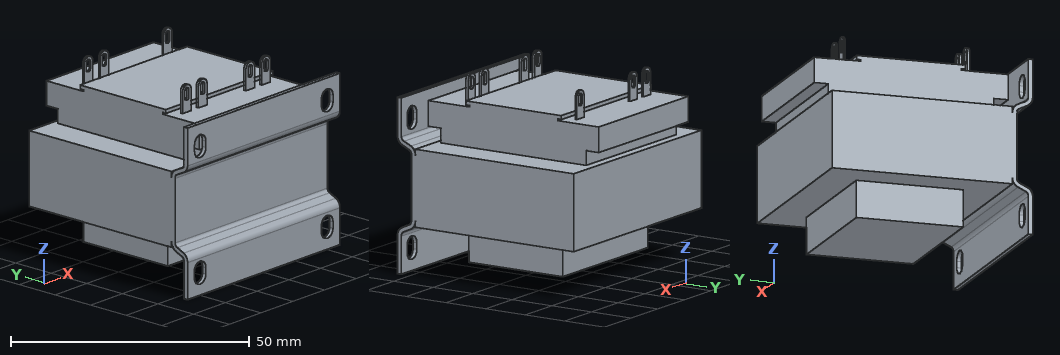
import cadquery as cq
import math


core_width = 48.0
core_depth = 40.05
core_height = 16.8

coil_width = 32.0
coil_depth = 23.7
coil_bottom = -16.45

carrier_width = 33.75
carrier_top = 17.3
carrier_gap = 0.2
flange_depth = 43.0
flange_thickness = 5.5
waist_depth = 36.7

neck_depth = 22.25
neck_height = 0.35
cover_depth = 24.1
cover_thickness = 0.85

terminal_width = 2.75
terminal_tip = 23.4
terminal_root = 0.95
terminal_eye_width = 1.3
terminal_eye_length = 2.7
terminal_eye_margin = 0.7
terminal_row_y = 13.8
front_terminal_thickness = 0.6
rear_terminal_thickness = 0.4
inner_terminal_x = 7.5
outer_terminal_x = 12.5
front_terminals = (-outer_terminal_x, -inner_terminal_x, inner_terminal_x, outer_terminal_x)
rear_terminals = (-outer_terminal_x, -inner_terminal_x, outer_terminal_x)

sheet = 1.0
bracket_height = 38.0
foot_front = -24.55
foot_start = 10.7
base_end = 7.15
bend_angle = math.radians(65)
bend_inner_radius = 1.0
bend_outer_radius = bend_inner_radius + sheet
hole_x = 20.0
hole_z = 14.0
hole_width = 3.6
hole_length = 5.0


def block(width, depth, bottom, top):
    """Box centred in X and Y between two heights."""
    return cq.Workplane("XY").workplane(offset=bottom).rect(width, depth).extrude(top - bottom)


def make_core():
    return block(core_width, core_depth, -core_height / 2, core_height / 2)


def make_coil_and_carrier():
    carrier_bottom = core_height / 2 + carrier_gap
    neck_top = carrier_top + neck_height
    coil = block(coil_width, coil_depth, coil_bottom, carrier_top)
    waist = block(carrier_width, waist_depth, carrier_bottom, carrier_top)
    flange = block(carrier_width, flange_depth, carrier_top - flange_thickness, carrier_top)
    neck = block(carrier_width, neck_depth, carrier_top, neck_top)
    cover = block(carrier_width, cover_depth, neck_top, neck_top + cover_thickness)
    return coil.union(waist).union(flange).union(neck).union(cover)


def make_terminal(x, y, thickness):
    """Upright tab with a rounded tip and an oblong eye, rooted in the carrier."""
    half_width = terminal_width / 2
    bottom = carrier_top - terminal_root
    shoulder = terminal_tip - half_width
    eye_z = terminal_tip - terminal_eye_margin - terminal_eye_length / 2
    plane = cq.Workplane("XZ", origin=(x, y, 0))
    tab = (
        plane.moveTo(-half_width, bottom)
        .lineTo(half_width, bottom)
        .lineTo(half_width, shoulder)
        .threePointArc((0, terminal_tip), (-half_width, shoulder))
        .close()
        .extrude(thickness / 2, both=True)
    )
    eye = (
        plane.center(0, eye_z)
        .slot2D(terminal_eye_length, terminal_eye_width, 90)
        .extrude(thickness, both=True)
    )
    return tab.cut(eye)


def make_bracket():
    base_back = -core_depth / 2
    base_front = base_back - sheet
    foot_back = foot_front + sheet
    foot_end = bracket_height / 2

    def base_bend(radius, angle):
        center_y = base_front - bend_inner_radius
        return (center_y + radius * math.cos(angle), base_end + radius * math.sin(angle))

    def foot_bend(radius, angle):
        center_y = foot_back + bend_inner_radius
        return (center_y - radius * math.cos(angle), foot_start - radius * math.sin(angle))

    half_angle = bend_angle / 2
    upper_half = (
        cq.Workplane("YZ")
        .moveTo(base_front, 0)
        .lineTo(base_front, base_end)
        .threePointArc(base_bend(bend_inner_radius, half_angle), base_bend(bend_inner_radius, bend_angle))
        .lineTo(*foot_bend(bend_outer_radius, bend_angle))
        .threePointArc(foot_bend(bend_outer_radius, half_angle), (foot_front, foot_start))
        .lineTo(foot_front, foot_end)
        .lineTo(foot_back, foot_end)
        .lineTo(foot_back, foot_start)
        .threePointArc(foot_bend(bend_inner_radius, half_angle), foot_bend(bend_inner_radius, bend_angle))
        .lineTo(*base_bend(bend_outer_radius, bend_angle))
        .threePointArc(base_bend(bend_outer_radius, half_angle), (base_back, base_end))
        .lineTo(base_back, 0)
        .close()
        .extrude(core_width / 2, both=True)
    )
    holes = (
        cq.Workplane("XZ", origin=(0, foot_back, 0))
        .pushPoints([(-hole_x, hole_z), (hole_x, hole_z)])
        .slot2D(hole_length, hole_width, 90)
        .extrude(sheet)
    )
    upper_half = upper_half.cut(holes)
    return upper_half.union(upper_half.mirror("XY"))


result = make_core().union(make_coil_and_carrier()).union(make_bracket())
for terminal_x in front_terminals:
    result = result.union(make_terminal(terminal_x, -terminal_row_y, front_terminal_thickness))
for terminal_x in rear_terminals:
    result = result.union(make_terminal(terminal_x, terminal_row_y, rear_terminal_thickness))